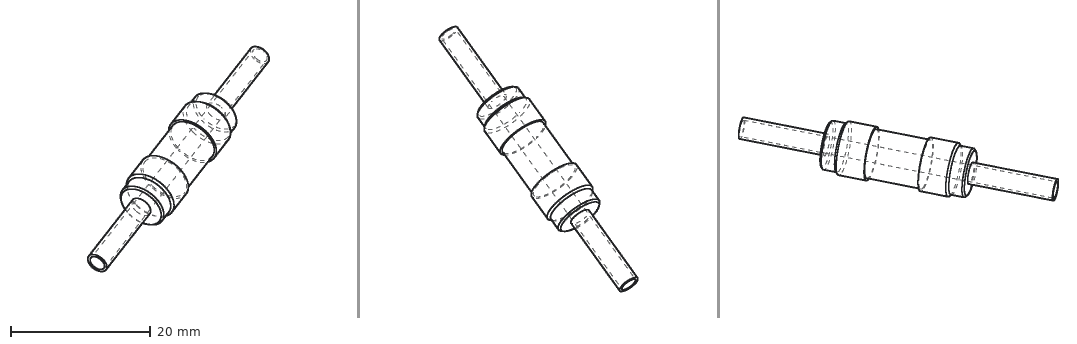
import cadquery as cq

total_length = 46.85
tube_diameter = 3.2
bore_diameter = 2.4
body_length = 21.55
body_diameter = 7.2
body_end_chamfer = 0.3
collar_diameter = 7.9
collar_inner_offset = 4.05
collar_outer_offset = 8.55
collar_chamfer = (collar_diameter - body_diameter) / 2


def cylinder_along_y(diameter, start, length):
    """Cylinder on the Y axis, running from start towards +Y."""
    plane = cq.Plane(origin=(0, start, 0), xDir=(1, 0, 0), normal=(0, 1, 0))
    return cq.Workplane(plane).circle(diameter / 2).extrude(length)


def make_collar():
    """Raised collar on the +Y half, chamfered on its outer edge."""
    width = collar_outer_offset - collar_inner_offset
    collar = cylinder_along_y(collar_diameter, collar_inner_offset, width)
    return collar.faces(">Y").chamfer(collar_chamfer)


tube = cylinder_along_y(tube_diameter, -total_length / 2, total_length)
body = cylinder_along_y(body_diameter, -body_length / 2, body_length)
body = body.faces("<Y or >Y").chamfer(body_end_chamfer)
collar = make_collar()
bore = cylinder_along_y(bore_diameter, -total_length / 2, total_length)

result = tube.union(body).union(collar).union(collar.mirror("XZ")).cut(bore)